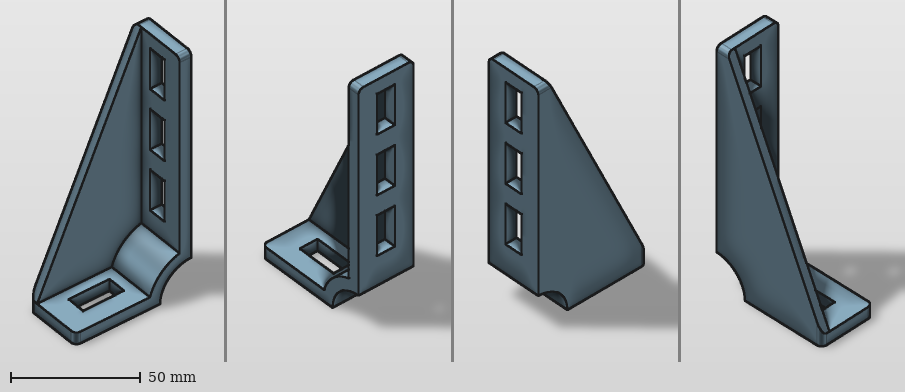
import cadquery as cq

width = 28.0
depth = 57.0
height = 117.0

plate = 5.8
web = 4.2
corner_radius = 2.6

heel_radius = 15.3
heel_outer_radius = heel_radius + plate

slot_width = 9.0
slot_length = 20.0
slot_center_x = 14.0
slot_count = 3
slot_pitch = 30.0
lowest_slot_z = 40.0
foot_slot_y = 21.3


def block(x_size, y_size, z_size):
    """Box with its lowest corner at the origin."""
    return cq.Workplane("XY").box(x_size, y_size, z_size, centered=False)


def heel_cylinder(radius):
    """Cylinder across the full width, centred on the lower back edge."""
    return cq.Workplane("YZ").center(depth, 0).circle(radius).extrude(width)


back_plate = block(width, plate, height).translate((0, depth - plate, 0))
foot = block(width, depth, plate)

web_plate = (
    cq.Workplane("YZ")
    .polyline([(0, 0), (depth, 0), (depth, height), (depth - plate, height), (0, plate)])
    .close()
    .extrude(web)
)

heel_wall = heel_cylinder(heel_outer_radius).intersect(block(width, depth, height))

body = back_plate.union(foot).union(web_plate).union(heel_wall)

front_outline = block(width, depth, height).edges("|Y and >Z").fillet(corner_radius)
foot_outline = block(width, depth, height).edges("|Z and <Y").fillet(corner_radius)
body = body.intersect(front_outline).intersect(foot_outline)

body = body.cut(heel_cylinder(heel_radius))

for index in range(slot_count):
    slot = cq.Workplane("XY").box(slot_width, 2 * plate, slot_length)
    slot_z = lowest_slot_z + index * slot_pitch
    body = body.cut(slot.translate((slot_center_x, depth - plate / 2, slot_z)))

foot_slot = cq.Workplane("XY").box(slot_width, slot_length, 2 * plate)
body = body.cut(foot_slot.translate((slot_center_x, foot_slot_y, plate / 2)))

result = body